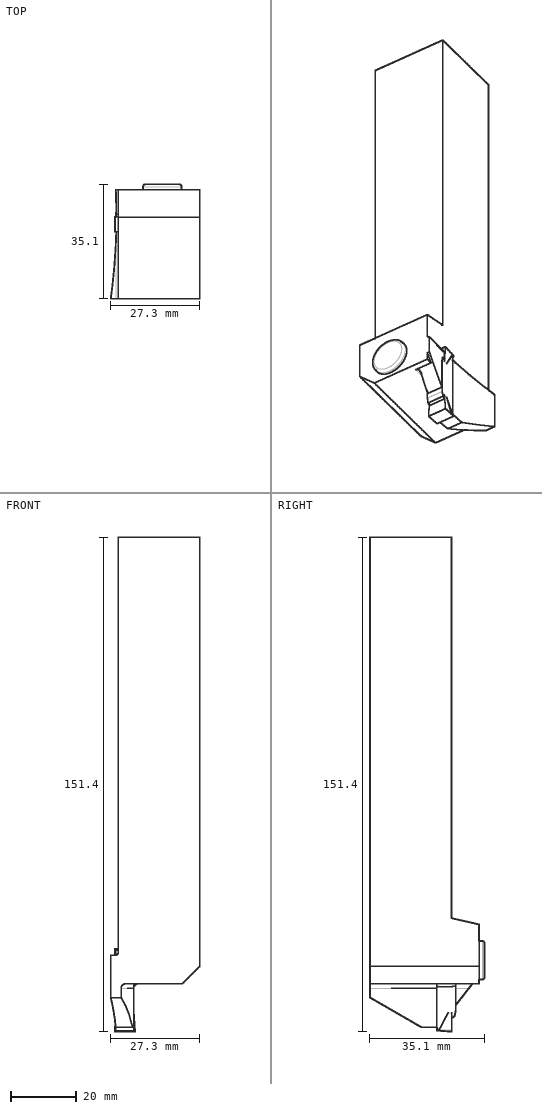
import cadquery as cq
import math

shank_size = 25.0
overall_length = 151.35
head_depth = 33.4
head_shoulder_low = 32.9
head_shoulder_high = 34.8
block_bottom = 14.7
block_chamfer = 5.4

blade_top = 23.5
blade_bottom = 1.35
nose_angle = 30.0
nose_depth = 15.8
blade_outer_front = -2.32
outer_radius = 180.0
outer_crest_y = 25.0
blade_inner_crest = 4.75
inner_radius = 71.0
inner_crest_y = 23.0
ledge_fillet = 0.8
root_fillet = 1.3
finger_top = 17.3
finger_tip_z = 8.2

insert_length = 25.35
insert_front = 20.5
insert_tip_y = 25.1
insert_crown_y = 26.3
insert_center_x = 2.05
body_width = 5.5
head_width = 6.2
head_flat = 4.2
shoulder_y = 25.9
shoulder_z = 4.7
crown_start = 6.5
head_length = 5.8
end_relief = 0.35
cutting_land = 0.6
relief_outer_y = 21.3
relief_outer_z = 0.8
relief_inner_y = 23.9

screw_diameter = 11.86
screw_x = 13.5
screw_z = 21.9
overall_depth = 35.1
screw_height = overall_depth - head_depth
screw_rounding = 0.8


def arc_x(crest_x, crest_y, radius, y):
    """X of an upright cylindrical face whose crest towards +X lies at crest_y."""
    return crest_x - radius + math.sqrt(radius**2 - (y - crest_y) ** 2)


def extrude_x(points, x_start, x_end):
    """Prism along X from an outline of (Y, Z) points."""
    return cq.Workplane("YZ").polyline(points).close().extrude(x_end - x_start).translate((x_start, 0, 0))


def make_shank_and_block():
    side = extrude_x(
        [
            (0, block_bottom),
            (0, overall_length),
            (shank_size, overall_length),
            (shank_size, head_shoulder_high),
            (head_depth, head_shoulder_low),
            (head_depth, block_bottom),
        ],
        0,
        shank_size,
    )
    return side.edges("|Y and >X and <Z").chamfer(block_chamfer)


def make_blade():
    outer_crest = blade_outer_front - arc_x(0, outer_crest_y, outer_radius, 0)
    outer_mid, outer_back = [
        arc_x(outer_crest, outer_crest_y, outer_radius, y) for y in (head_depth / 2, head_depth)
    ]
    inner_front, inner_mid, inner_back = [
        arc_x(blade_inner_crest, inner_crest_y, inner_radius, y) for y in (0, head_depth / 2, head_depth)
    ]
    plan = (
        cq.Workplane("XY")
        .moveTo(blade_outer_front, 0)
        .threePointArc((outer_mid, head_depth / 2), (outer_back, head_depth))
        .lineTo(inner_back, head_depth)
        .threePointArc((inner_mid, head_depth / 2), (inner_front, 0))
        .close()
        .extrude(overall_length)
    )
    nose_rise = nose_depth * math.tan(math.radians(nose_angle))
    side = extrude_x(
        [
            (0, blade_bottom + nose_rise),
            (0, overall_length),
            (head_depth, overall_length),
            (head_depth, finger_top),
            (insert_crown_y, finger_tip_z),
            (insert_front, finger_tip_z),
            (insert_front, blade_bottom),
            (nose_depth, blade_bottom),
        ],
        blade_outer_front,
        shank_size,
    )
    ledge = (
        cq.Workplane("XZ")
        .moveTo(blade_outer_front, 0)
        .lineTo(blade_outer_front, blade_top)
        .lineTo(-ledge_fillet, blade_top)
        .radiusArc((0, blade_top + ledge_fillet), -ledge_fillet)
        .lineTo(shank_size, blade_top + ledge_fillet)
        .lineTo(shank_size, 0)
        .close()
        .extrude(-head_depth)
    )
    return plan.intersect(side).intersect(ledge)


def make_screw_head():
    return (
        cq.Workplane("XZ", origin=(screw_x, head_depth, screw_z))
        .circle(screw_diameter / 2)
        .extrude(-screw_height)
        .faces(">Y")
        .edges()
        .fillet(screw_rounding)
    )


def make_insert_head():
    """Wide cutting end that narrows to the body width along Z."""
    half_body = body_width / 2
    half_head = head_width / 2
    side = extrude_x(
        [
            (insert_front, end_relief),
            (insert_tip_y, 0),
            (insert_tip_y, head_length),
            (relief_inner_y, head_length),
            (relief_outer_y, relief_outer_z),
            (insert_front, relief_outer_z),
        ],
        insert_center_x - half_head,
        insert_center_x + half_head,
    )
    taper = (
        cq.Workplane("XZ", origin=(insert_center_x, 0, 0))
        .polyline(
            [
                (-half_head, 0),
                (half_head, 0),
                (half_head, cutting_land),
                (half_body, head_length),
                (-half_body, head_length),
                (-half_head, cutting_land),
            ]
        )
        .close()
        .extrude(-head_depth)
    )
    return side.intersect(taper)


def make_insert():
    half_body = body_width / 2
    insert = extrude_x(
        [
            (insert_front, end_relief),
            (insert_tip_y, 0),
            (insert_tip_y, head_flat),
            (shoulder_y, shoulder_z),
            (insert_crown_y, crown_start),
            (insert_crown_y, insert_length - crown_start),
            (shoulder_y, insert_length - shoulder_z),
            (insert_tip_y, insert_length - head_flat),
            (insert_tip_y, insert_length),
            (insert_front, insert_length - end_relief),
        ],
        insert_center_x - half_body,
        insert_center_x + half_body,
    )
    head = make_insert_head()
    middle = (0, 0, insert_length / 2)
    return insert.union(head).union(head.mirror("XY", middle))


def make_holder(insert):
    inner_x = arc_x(blade_inner_crest, inner_crest_y, inner_radius, head_depth / 2)
    root = cq.selectors.NearestToPointSelector((inner_x, head_depth / 2, block_bottom))
    body = make_shank_and_block().union(make_blade())
    body = body.edges(root).fillet(root_fillet)
    return body.union(make_screw_head()).cut(insert)


insert = make_insert()
holder = make_holder(insert)
result = cq.Compound.makeCompound([holder.solids().val(), insert.solids().val()])